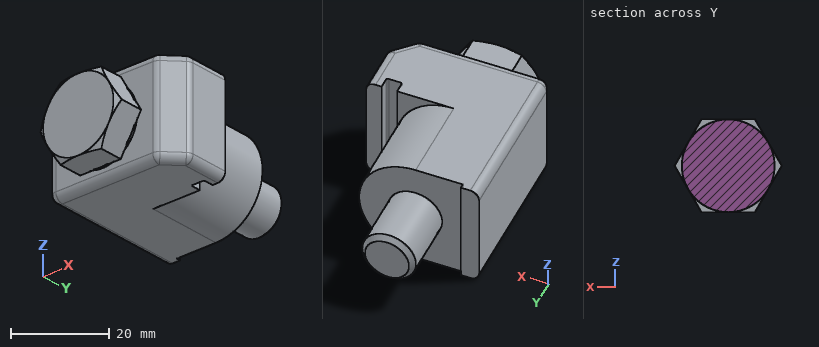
import cadquery as cq
import math

total_length = 57.5
body_width = 34.0
body_height = 25.0

body_length = 36.5
lip_width = 4.0
lip_height = 1.05
shoulder_y = 15.9
corner_chamfer = 5.0
edge_radius = 2.0

groove_width = 3.45
groove_depth = 2.65
groove_corner_radius = 0.45

bolt_x = 14.6
barrel_radius = body_height / 2
barrel_end_y = body_length - lip_height

shank_radius = 6.0
shank_chamfer = 1.1
hex_across_flats = 19.0
hex_across_corners = hex_across_flats / math.cos(math.radians(30))
washer_thickness = 0.6
head_end_y = -7.5
head_chamfer_angle = 30.0
shank_end_y = total_length + head_end_y


def cylinder_along_y(radius, start_y, end_y):
    """Cylinder on the bolt axis between two Y positions."""
    start = cq.Vector(bolt_x, start_y, 0)
    return cq.Workplane(cq.Solid.makeCylinder(radius, end_y - start_y, start, cq.Vector(0, 1, 0)))


def make_body():
    """Rounded L-shaped block, grooved beside its flange, with a half-round barrel."""
    outline = (
        cq.Workplane("XY")
        .workplane(offset=-body_height / 2)
        .moveTo(0, 0)
        .lineTo(body_width - corner_chamfer, 0)
        .lineTo(body_width, corner_chamfer)
        .lineTo(body_width, shoulder_y)
        .lineTo(bolt_x, shoulder_y)
        .lineTo(bolt_x, barrel_end_y)
        .lineTo(lip_width, barrel_end_y)
        .lineTo(lip_width, body_length)
        .lineTo(0, body_length)
        .close()
    )
    block = outline.extrude(body_height)

    outer_faces = block.faces("<X or >X or <Y or >(1,-1,0)")
    rounded_edges = outer_faces.edges().filter(
        lambda edge: edge.Center().y < shoulder_y or abs(edge.Center().z) > body_height / 4
    )
    block = rounded_edges.fillet(edge_radius)

    barrel = cylinder_along_y(barrel_radius, shoulder_y, barrel_end_y)
    return block.union(barrel)


def make_groove():
    """Slot with rounded bottom corners, right beside the barrel."""
    groove_x = bolt_x + barrel_radius
    return (
        cq.Workplane("XY")
        .box(groove_width, groove_depth, body_height, centered=(False, False, True))
        .edges("|Z and <Y")
        .fillet(groove_corner_radius)
        .translate((groove_x, shoulder_y - groove_depth, 0))
    )


def make_bolt():
    """Hexagon-head bolt with a washer face and a chamfered tip."""
    shank = cylinder_along_y(shank_radius, 0, shank_end_y).faces(">Y").chamfer(shank_chamfer)
    washer_face = cylinder_along_y(hex_across_flats / 2, -washer_thickness, 0)
    head_height = -washer_thickness - head_end_y
    hexagon = (
        cq.Workplane("XZ", origin=(bolt_x, -washer_thickness, 0))
        .polygon(6, hex_across_corners)
        .extrude(head_height)
    )
    cone_growth = head_height / math.tan(math.radians(head_chamfer_angle))
    bevel_cone = cq.Workplane(cq.Solid.makeCone(
        hex_across_flats / 2,
        hex_across_flats / 2 + cone_growth,
        head_height,
        cq.Vector(bolt_x, head_end_y, 0),
        cq.Vector(0, 1, 0),
    ))
    return shank.union(washer_face).union(hexagon.intersect(bevel_cone))


result = make_body().cut(make_groove()).union(make_bolt())